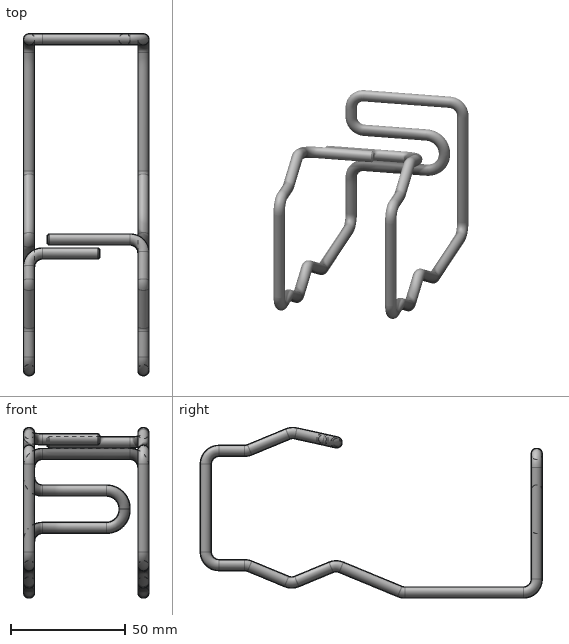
import cadquery as cq
import math

overall_depth = 150.0
wire_diameter = 5.0
bend_radius = 5.8
end_chamfer = 0.8

leg_spacing = 50.1
rear_y = overall_depth - wire_diameter
left_x = -leg_spacing / 2
right_x = leg_spacing / 2

ramp_angle = 22.5
ramp_slope = math.tan(math.radians(ramp_angle))
shelf_length = 18.2
ramp_run = 19.5
ramp_rise = ramp_run * ramp_slope
shelf_z = 12.0
valley_y = shelf_length + ramp_run
lower_peak_y = valley_y + ramp_run
ramp_foot_y = lower_peak_y + shelf_z / ramp_slope

shelf_spacing = 50.1
upper_shelf_z = shelf_z + shelf_spacing
crest_z = upper_shelf_z + ramp_rise
hook_angle = 12.5
hook_slope = math.tan(math.radians(hook_angle))
left_hook_y = 51.2
right_hook_y = 57.3
left_hook_reach = 31.0
right_hook_reach = 42.2

rear_top_z = 60.8
tongue_lower_z = 28.4
tongue_spacing = 16.4
tongue_upper_z = tongue_lower_z + tongue_spacing
tongue_reach = 41.8
tongue_bend_radius = 8.0


def hook_height(y):
    return crest_z - (y - valley_y) * hook_slope


def hook_points(x, hook_y, tip_x):
    """Hook tip followed by the corner where it meets the arm."""
    z = hook_height(hook_y)
    return [(tip_x, hook_y, z), (x, hook_y, z)]


def side_points(x):
    """Corners of one side, from the upper crest round the front to the rear bottom corner."""
    return [
        (x, valley_y, crest_z),
        (x, shelf_length, upper_shelf_z),
        (x, 0, upper_shelf_z),
        (x, 0, shelf_z),
        (x, shelf_length, shelf_z),
        (x, valley_y, shelf_z - ramp_rise),
        (x, lower_peak_y, shelf_z),
        (x, ramp_foot_y, 0),
        (x, rear_y, 0),
    ]


def with_radius(points, radius):
    return [(cq.Vector(*point), radius) for point in points]


def centreline(corners):
    """Wire through the corners, each inner corner rounded by its own bend radius."""
    edges = []
    start = corners[0][0]
    for index in range(1, len(corners) - 1):
        corner, radius = corners[index]
        back = (corners[index - 1][0] - corner).normalized()
        ahead = (corners[index + 1][0] - corner).normalized()
        half_angle = back.getAngle(ahead) / 2
        setback = radius / math.tan(half_angle)
        to_middle = radius / math.sin(half_angle) - radius
        arc_start = corner + back * setback
        arc_middle = corner + (back + ahead).normalized() * to_middle
        arc_end = corner + ahead * setback
        edges.append(cq.Edge.makeLine(start, arc_start))
        edges.append(cq.Edge.makeThreePointArc(arc_start, arc_middle, arc_end))
        start = arc_end
    edges.append(cq.Edge.makeLine(start, corners[-1][0]))
    return cq.Wire.assembleEdges(edges)


left_hook = hook_points(left_x, left_hook_y, left_x + left_hook_reach)
right_hook = hook_points(right_x, right_hook_y, right_x - right_hook_reach)
tongue_end_x = left_x + tongue_reach

corners = (
    with_radius(left_hook + side_points(left_x), bend_radius)
    + with_radius([(left_x, rear_y, tongue_lower_z)], bend_radius)
    + with_radius([(tongue_end_x, rear_y, tongue_lower_z)], tongue_bend_radius)
    + with_radius([(tongue_end_x, rear_y, tongue_upper_z)], tongue_bend_radius)
    + with_radius([(left_x, rear_y, tongue_upper_z)], bend_radius)
    + with_radius([(left_x, rear_y, rear_top_z)], bend_radius)
    + with_radius([(right_x, rear_y, rear_top_z)], bend_radius)
    + with_radius((right_hook + side_points(right_x))[::-1], bend_radius)
)

section = cq.Workplane("YZ", origin=left_hook[0]).circle(wire_diameter / 2)
rod = section.sweep(cq.Workplane(obj=centreline(corners)))

result = rod.faces("%PLANE").edges().chamfer(end_chamfer)